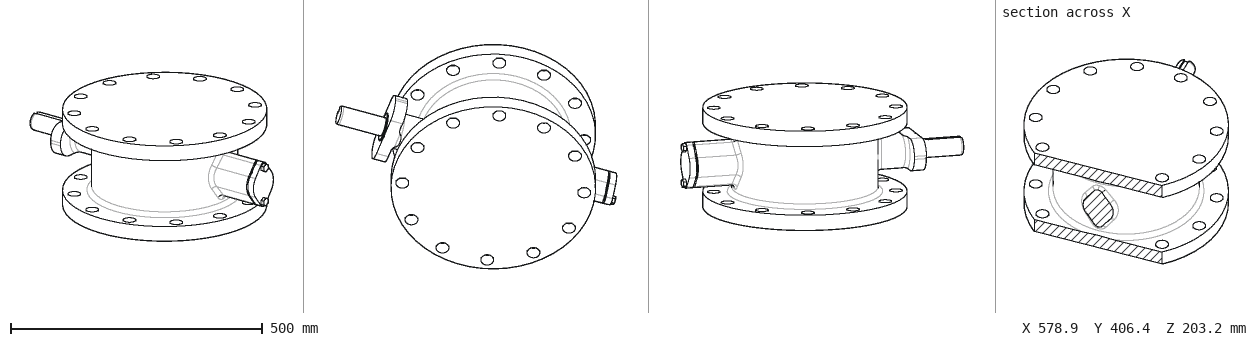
import cadquery as cq
import math

FLANGE_DIAMETER = 406.4
OVERALL_HEIGHT = 203.2
FLANGE_THICKNESS = 31.5
BODY_DIAMETER = 291.0
CASTING_FILLET = 9.0
BOLT_CIRCLE_DIAMETER = 361.95
BOLT_HOLE_DIAMETER = 25.4
BOLT_HOLE_COUNT = 12

SHAFT_END = 324.3
SHAFT_DIAMETER = 38.0
SHAFT_CHAMFER_LENGTH = 4.0
SHAFT_CHAMFER_DEPTH = 0.8
KEYWAY_WIDTH = 10.0
KEYWAY_DEPTH = 5.5
KEYWAY_LENGTH = 74.0
PLATE_FACE = 230.0
PLATE_THICKNESS = 25.0
PLATE_WIDTH = 146.0
PLATE_HEIGHT = 65.0
PLATE_END_FLAT = 6.0
NECK_DIAMETER = 72.0
NECK_FILLET = 7.0
NECK_RELIEF_FLAT = 3.5
NECK_RELIEF_RADIUS = 6.0
RING_DIAMETER = 57.0
RING_HEIGHT = 1.7
RING_CHAMFER_LENGTH = 0.8
RING_CHAMFER_DEPTH = 1.5
GROOVE_WIDTH = 5.0
GROOVE_DEPTH = 1.0

HOUSING_END = 231.0
COVER_GAP = 3.0
COVER_THICKNESS = 14.0
HOUSING_SIDE_RADIUS = 32.7
HOUSING_TIP_RADIUS = 10.4
COVER_BOLT_OFFSET = 36.3
SPIGOT_DIAMETER = 57.5
BOLT_SHANK_DIAMETER = 10.0
BOLT_HEAD_SIDES = 6
BOLT_HEAD_WIDTH = 15.0
BOLT_HEAD_CHAMFER_LENGTH = 1.5
BOLT_HEAD_CHAMFER_DEPTH = 0.4
OVERALL_LENGTH = 578.94

flange_radius = FLANGE_DIAMETER / 2
body_radius = BODY_DIAMETER / 2
half_height = OVERALL_HEIGHT / 2
barrel_half_height = half_height - FLANGE_THICKNESS
plate_back = PLATE_FACE - PLATE_THICKNESS
neck_radius = NECK_DIAMETER / 2
cover_start = HOUSING_END + COVER_GAP
cover_face = cover_start + COVER_THICKNESS
bolt_head_end = OVERALL_LENGTH - SHAFT_END
bolt_head_height = bolt_head_end - cover_face


def section_at(x):
    """Sketch plane across the X axis: local x is +Y, local y is +Z, normal is +X."""
    return cq.Workplane("YZ", origin=(x, 0, 0))


def flange(bottom_z):
    """Round flange with bolt holes straddling the X and Y axes."""
    base = cq.Workplane("XY", origin=(0, 0, bottom_z))
    disc = base.circle(flange_radius).extrude(FLANGE_THICKNESS)
    holes = (
        base.polarArray(BOLT_CIRCLE_DIAMETER / 2, 180 / BOLT_HOLE_COUNT, 360, BOLT_HOLE_COUNT)
        .circle(BOLT_HOLE_DIAMETER / 2)
        .extrude(FLANGE_THICKNESS)
    )
    return disc.cut(holes)


def barrel():
    """Cylinder between the flanges, flared by a fillet where it meets each of them."""
    r = body_radius
    f = CASTING_FILLET
    h = barrel_half_height
    mid = f * (1 - math.sqrt(0.5))
    return (
        cq.Workplane("XZ")
        .moveTo(0, -h)
        .lineTo(r + f, -h)
        .threePointArc((r + mid, -h + mid), (r, -h + f))
        .lineTo(r, h - f)
        .threePointArc((r + mid, h - mid), (r + f, h))
        .lineTo(0, h)
        .close()
        .revolve(360, (0, 0, 0), (0, 1, 0))
    )


def housing_profile(x):
    """Two small tip arcs around the cover bolts, joined to two large side arcs by tangent lines."""
    side = HOUSING_SIDE_RADIUS
    tip = HOUSING_TIP_RADIUS
    offset = COVER_BOLT_OFFSET
    tangent_sin = (side - tip) / offset
    tangent_cos = math.sqrt(1 - tangent_sin ** 2)
    side_y = side * tangent_cos
    side_z = side * tangent_sin
    tip_y = tip * tangent_cos
    tip_z = offset + tip * tangent_sin
    return (
        section_at(x)
        .moveTo(side_y, -side_z)
        .threePointArc((side, 0), (side_y, side_z))
        .lineTo(tip_y, tip_z)
        .threePointArc((0, offset + tip), (-tip_y, tip_z))
        .lineTo(-side_y, side_z)
        .threePointArc((-side, 0), (-side_y, -side_z))
        .lineTo(-tip_y, -tip_z)
        .threePointArc((0, -offset - tip), (tip_y, -tip_z))
        .close()
    )


def body_with_branches():
    """Barrel with the shaft neck and the cover housing, filleted where they leave the barrel."""
    neck = section_at(-plate_back).circle(neck_radius).extrude(plate_back)
    housing = housing_profile(0).extrude(HOUSING_END)
    joined = barrel().union(neck).union(housing)
    margin = 1.0
    reach = body_radius + margin
    half_branch = COVER_BOLT_OFFSET + HOUSING_TIP_RADIUS + margin
    junctions = cq.selectors.BoxSelector(
        (-reach, -half_branch, -half_branch), (reach, half_branch, half_branch)
    )
    return joined.edges(junctions).fillet(CASTING_FILLET)


def neck_flare():
    """Concave fillet of revolution from the neck out to the back of the mounting plate."""
    r = neck_radius
    f = NECK_FILLET
    mid = f * (1 - math.sqrt(0.5))
    return (
        cq.Workplane("XY")
        .moveTo(-plate_back, 0)
        .lineTo(-plate_back, r + f)
        .threePointArc((-plate_back + mid, r + mid), (-plate_back + f, r))
        .lineTo(-plate_back + f, 0)
        .close()
        .revolve(360, (0, 0, 0), (1, 0, 0))
    )


def neck_relief():
    """Cuts above and below the neck: a flat level with the plate, then a curve up to the neck."""
    radius = NECK_RELIEF_RADIUS
    low = PLATE_HEIGHT / 2
    flare_radius = neck_radius + NECK_FILLET
    flat_end = -plate_back + NECK_RELIEF_FLAT
    arc_mid_x = flat_end + radius * math.sqrt(0.5)
    arc_mid_z = low + radius * (1 - math.sqrt(0.5))
    upper = (
        cq.Workplane("XZ")
        .moveTo(-plate_back, low)
        .lineTo(flat_end, low)
        .threePointArc((arc_mid_x, arc_mid_z), (flat_end + radius, low + radius))
        .lineTo(flat_end + radius, flare_radius)
        .lineTo(-plate_back, flare_radius)
        .close()
        .extrude(flare_radius, both=True)
    )
    return upper.union(upper.mirror("XY"))


def mounting_plate():
    """Rounded plate with a shallow vertical groove across its face and a raised ring round the shaft."""
    corner = (PLATE_HEIGHT - PLATE_END_FLAT) / 2
    plate = (
        section_at(-PLATE_FACE)
        .rect(PLATE_WIDTH, PLATE_HEIGHT)
        .extrude(PLATE_THICKNESS)
        .edges("|X")
        .fillet(corner)
    )
    groove = section_at(-PLATE_FACE).rect(GROOVE_WIDTH, PLATE_HEIGHT).extrude(GROOVE_DEPTH)
    ring_seat = section_at(-PLATE_FACE).circle(RING_DIAMETER / 2).extrude(GROOVE_DEPTH)
    ring = section_at(-PLATE_FACE).circle(RING_DIAMETER / 2).extrude(-RING_HEIGHT)
    ring = ring.faces("<X").chamfer(RING_CHAMFER_LENGTH, RING_CHAMFER_DEPTH)
    return plate.cut(groove).union(ring_seat).union(ring)


def shaft():
    """Chamfered shaft with a keyway in its top, open at the free end."""
    length = SHAFT_END - PLATE_FACE
    bar = section_at(-SHAFT_END).circle(SHAFT_DIAMETER / 2).extrude(length)
    bar = bar.faces("<X").chamfer(SHAFT_CHAMFER_LENGTH, SHAFT_CHAMFER_DEPTH)
    straight = KEYWAY_LENGTH - KEYWAY_WIDTH / 2
    keyway = (
        cq.Workplane("XY", origin=(-SHAFT_END, 0, SHAFT_DIAMETER / 2 - KEYWAY_DEPTH))
        .moveTo(0, -KEYWAY_WIDTH / 2)
        .lineTo(straight, -KEYWAY_WIDTH / 2)
        .threePointArc((KEYWAY_LENGTH, 0), (straight, KEYWAY_WIDTH / 2))
        .lineTo(0, KEYWAY_WIDTH / 2)
        .close()
        .extrude(KEYWAY_DEPTH)
    )
    return bar.cut(keyway)


def cover_bolt(z):
    """Shank crossing the cover gap and a hex head, corners up and down, with a chamfered end."""
    corner_diameter = BOLT_HEAD_WIDTH / math.cos(math.pi / BOLT_HEAD_SIDES)
    shank = section_at(HOUSING_END).center(0, z).circle(BOLT_SHANK_DIAMETER / 2).extrude(COVER_GAP)
    hexagon = (
        section_at(cover_face)
        .center(0, z)
        .transformed(rotate=(0, 0, 90))
        .polygon(BOLT_HEAD_SIDES, corner_diameter)
        .extrude(bolt_head_height)
    )
    head = hexagon.faces(">X").chamfer(BOLT_HEAD_CHAMFER_LENGTH, BOLT_HEAD_CHAMFER_DEPTH)
    return shank.union(head)


def cover():
    """End cover on a short round spigot, held by two bolts."""
    plate = housing_profile(cover_start).extrude(COVER_THICKNESS)
    spigot = section_at(HOUSING_END).circle(SPIGOT_DIAMETER / 2).extrude(COVER_GAP)
    assembly = plate.union(spigot)
    for z in (-COVER_BOLT_OFFSET, COVER_BOLT_OFFSET):
        assembly = assembly.union(cover_bolt(z))
    return assembly


body = body_with_branches().union(neck_flare()).cut(neck_relief())
result = (
    body.union(flange(-half_height))
    .union(flange(barrel_half_height))
    .union(mounting_plate())
    .union(shaft())
    .union(cover())
)